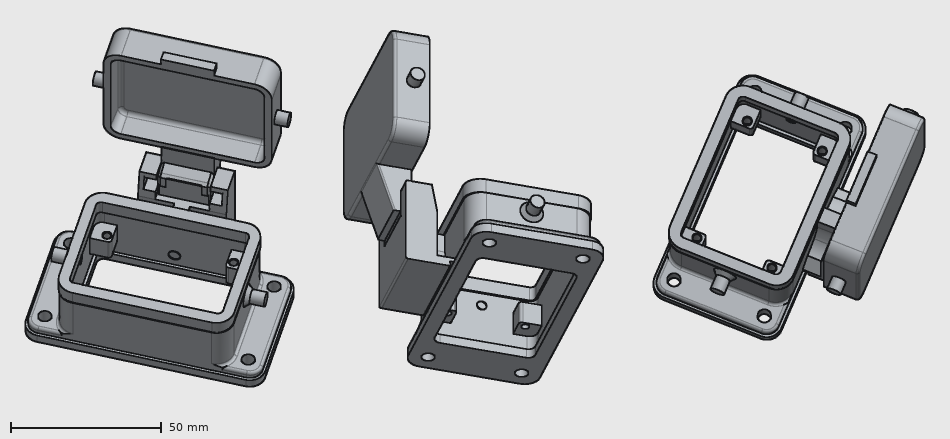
import cadquery as cq
FLANGE_X, FLANGE_Y = 82.5, 45.7
FLANGE_Z = 3.5
FLANGE_R = 5.3
PAD_STEP = 0.9
PAD_Z = 6.0
PAD_ROUND = 1.1
WALL_X, WALL_Y = 60.0, 43.6
WALL_R = 6.1
RIM_X, RIM_Y = 60.3, 44.35
RIM_BOTTOM, RIM_TOP = 23.6, 28.9
CAVITY_X, CAVITY_Y = 54.1, 37.1
CAVITY_R = 2.9
RIM_CAVITY_X, RIM_CAVITY_Y = 52.7, 35.8
RIM_CAVITY_R = 1.8
OPENING_X, OPENING_Y = 51.8, 34.95
OPENING_R = 2.5
MOUNT_HOLE_D = 4.5
MOUNT_HOLE_X, MOUNT_HOLE_Y = 35.0, 16.2

BOSS_INNER_X, BOSS_INNER_Y = 19.7, 10.8
BOSS_BOTTOM, BOSS_TOP = 9.5, 17.7
BOSS_R = 1.1
BOSS_HOLE_X, BOSS_HOLE_Y = 21.8, 13.5
BOSS_HOLE_D = 2.7
BOSS_HOLE_SINK = 0.3

PIN_D = 5.0
PIN_Z = 18.9
PIN_END = 36.6
PIN_CONE_D = 8.0
PIN_CONE_END = 31.7
PIN_DIMPLE_D = 3.3
REAR_DIMPLE_D = 4.1
REAR_DIMPLE_Z = 8.2
DIMPLE_DEPTH = 0.35

BRACKET_HALF_X = 15.3
BRACKET_FRONT, BRACKET_BACK = 28.3, 39.2
BRACKET_BOTTOM, BRACKET_TOP = 2.2, 33.7
BRACKET_TOP_FRONT = 30.2
BRACKET_LEAN_Z = 23.2
BRACKET_ROUND = 0.7
FOOT_TOP = 5.6
FOOT_NOTCH_Y, FOOT_NOTCH_Z = 23.9, 4.1
SLOT_HALF_X = 9.3
SLOT_FLOOR = 23.2
POCKET_HALF_X = 13.5
POCKET_BOTTOM, POCKET_TOP = 26.4, 31.7
POCKET_BACK = 38.5

WEB_HALF_X = 2.7
WEB_FLARE_TOP = 16.5
WEB_KNEE_X, WEB_KNEE_Z = 5.3, 10.8
WEB_TOE_X, WEB_TOE_Z = 11.0, 8.6

LID_X = 58.0
LID_FRONT, LID_BACK = 35.0, 47.68
LID_BOTTOM, LID_TOP = 42.7, 86.1
LID_R = 6.0
LID_BACK_ROUND = 1.1
LID_WALL = 2.5
LID_BACK_WALL = 3.7
RECESS_R = 3.5
RECESS_FLOOR_ROUND = 1.6
RECESS_DRAFT = 3.5
TAB_HALF_X = 9.1
TAB_TOP = 88.7
TAB_BACK = 38.3
LID_PIN_Y, LID_PIN_Z = 40.6, 64.2
LID_PIN_END = 33.5

ARM_FRONT = 35.4
ARM_HEEL_Y, ARM_HEEL_Z = 41.6, 25.2
ARM_BACK_ROUND = 0.5
BARREL_FRONT = 30.2
BARREL_TOP_FRONT = 31.7
BARREL_TOP, BARREL_TOP_LOW, BARREL_CHAMFER_Z = 34.6, 33.5, 32.8
BARREL_SIDE_CHAMFER = 1.1
PANEL_DEPTH = 0.4
PANEL_HALF_X = 6.2
PANEL_R = 0.5
LEG_BOTTOM = 28.4
HINGE_PIN_Y, HINGE_PIN_Z = 36.7, 29.7
HINGE_PIN_D = 3.2
HINGE_PIN_END = 13.2

SIDES = (-1, 1)


def box(x0, x1, y0, y1, z0, z1):
    return cq.Workplane("XY").box(x1 - x0, y1 - y0, z1 - z0, centered=False).translate((x0, y0, z0))


def rounded_block(size_x, size_y, radius, z0, z1):
    block = cq.Workplane("XY").workplane(offset=z0).rect(size_x, size_y).extrude(z1 - z0)
    return block.edges("|Z").fillet(radius)


def x_cylinder(x0, x1, y, z, diameter):
    return cq.Workplane("YZ").workplane(offset=x0).center(y, z).circle(diameter / 2).extrude(x1 - x0)


def yz_prism(points, half_x):
    return cq.Workplane("YZ").polyline(points).close().extrude(half_x, both=True)


def make_flange():
    flange = rounded_block(FLANGE_X, FLANGE_Y, FLANGE_R, 0, FLANGE_Z)
    pad = rounded_block(FLANGE_X - 2 * PAD_STEP, WALL_Y, FLANGE_R - PAD_STEP, 0, PAD_Z)
    return flange.union(pad.faces(">Z").edges().fillet(PAD_ROUND))


def make_wall():
    """Rounded wall whose foot flares onto the pad, trimmed flush with the pad sides."""
    ground_z = PAD_Z - PAD_ROUND
    ground = box(-FLANGE_X, FLANGE_X, -FLANGE_Y, FLANGE_Y, 0, PAD_Z)
    wall = ground.union(rounded_block(WALL_X, WALL_Y, WALL_R, 0, RIM_BOTTOM))
    foot_edges = cq.selectors.BoxSelector(
        (-WALL_X, -WALL_Y, PAD_Z - 0.1), (WALL_X, WALL_Y, PAD_Z + 0.1)
    )
    flare_x = WALL_X + 2 * PAD_ROUND
    flare_y = WALL_Y + 2 * PAD_ROUND
    trim = rounded_block(flare_x, flare_y, WALL_R + PAD_ROUND, ground_z, RIM_BOTTOM)
    trim = trim.intersect(rounded_block(FLANGE_X - 2 * PAD_STEP, WALL_Y, FLANGE_R - PAD_STEP, 0, RIM_BOTTOM))
    wall = wall.edges(foot_edges).fillet(PAD_ROUND)
    rim = rounded_block(RIM_X, RIM_Y, WALL_R, RIM_BOTTOM, RIM_TOP)
    return wall.intersect(trim).union(rim)


def cut_cavity(body):
    body = body.cut(rounded_block(OPENING_X, OPENING_Y, OPENING_R, 0, FLANGE_Z))
    body = body.cut(rounded_block(CAVITY_X, CAVITY_Y, CAVITY_R, FLANGE_Z, RIM_BOTTOM))
    return body.cut(rounded_block(RIM_CAVITY_X, RIM_CAVITY_Y, RIM_CAVITY_R, RIM_BOTTOM, RIM_TOP))


def make_bosses():
    """Four screw bosses in the cavity corners."""
    outline = rounded_block(CAVITY_X + 1.8, CAVITY_Y + 1.8, CAVITY_R, BOSS_BOTTOM, BOSS_TOP)
    bosses = cq.Workplane("XY")
    for side_x in SIDES:
        for side_y in SIDES:
            boss = (
                cq.Workplane("XY").box(
                    CAVITY_X / 2 - BOSS_INNER_X + 0.9, CAVITY_Y / 2 - BOSS_INNER_Y + 0.9,
                    BOSS_TOP - BOSS_BOTTOM, centered=False)
                .edges("|Z and <X and <Y").fillet(BOSS_R)
                .translate((BOSS_INNER_X, BOSS_INNER_Y, BOSS_BOTTOM))
                .intersect(outline)
                .faces(">Z").workplane(origin=(BOSS_HOLE_X, BOSS_HOLE_Y, BOSS_TOP))
                .cskHole(BOSS_HOLE_D, BOSS_HOLE_D + 2 * BOSS_HOLE_SINK, 90)
            )
            if side_x < 0:
                boss = boss.mirror("YZ")
            if side_y < 0:
                boss = boss.mirror("XZ")
            bosses = bosses.add(boss)
    return bosses


def make_side_pin():
    pin = x_cylinder(WALL_X / 2 - 0.9, PIN_END, 0, PIN_Z, PIN_D)
    cone = (
        cq.Workplane("XZ")
        .moveTo(WALL_X / 2 - 0.9, PIN_Z)
        .lineTo(WALL_X / 2 - 0.9, PIN_Z + PIN_CONE_D / 2)
        .lineTo(WALL_X / 2, PIN_Z + PIN_CONE_D / 2)
        .lineTo(PIN_CONE_END, PIN_Z + PIN_D / 2)
        .lineTo(PIN_CONE_END, PIN_Z)
        .close()
        .revolve(360, (0, PIN_Z, 0), (1, PIN_Z, 0))
    )
    return pin.union(cone)


def make_web():
    """Web between bracket and wall; its flared sides sweep out in two tangent arcs."""
    half = (
        cq.Workplane("XZ", origin=(0, BRACKET_FRONT + 0.9, 0))
        .moveTo(0, FOOT_TOP - 0.9)
        .lineTo(0, SLOT_FLOOR)
        .lineTo(WEB_HALF_X, SLOT_FLOOR)
        .lineTo(WEB_HALF_X, WEB_FLARE_TOP)
        .tangentArcPoint((WEB_KNEE_X, WEB_KNEE_Z), relative=False)
        .tangentArcPoint((WEB_TOE_X, WEB_TOE_Z), relative=False)
        .lineTo(BRACKET_HALF_X, FOOT_TOP)
        .lineTo(BRACKET_HALF_X, FOOT_TOP - 0.9)
        .close()
        .extrude(BRACKET_FRONT + 0.9 - WALL_Y / 2)
    )
    return half.union(half.mirror("YZ"))


def make_bracket():
    wall_y = WALL_Y / 2
    profile = [
        (wall_y, FOOT_NOTCH_Z),
        (FOOT_NOTCH_Y, FOOT_NOTCH_Z),
        (FOOT_NOTCH_Y, BRACKET_BOTTOM),
        (BRACKET_BACK, BRACKET_BOTTOM),
        (BRACKET_BACK, BRACKET_TOP),
        (BRACKET_TOP_FRONT, BRACKET_TOP),
        (BRACKET_FRONT, BRACKET_LEAN_Z),
        (BRACKET_FRONT, FOOT_TOP),
        (wall_y, FOOT_TOP),
    ]
    bracket = yz_prism(profile, BRACKET_HALF_X)
    bracket = bracket.edges("|X and >Y").fillet(BRACKET_ROUND)
    slot = box(-SLOT_HALF_X, SLOT_HALF_X, BRACKET_FRONT, BRACKET_BACK, SLOT_FLOOR, BRACKET_TOP)
    pocket = box(-POCKET_HALF_X, POCKET_HALF_X, BRACKET_FRONT, POCKET_BACK, POCKET_BOTTOM, POCKET_TOP)
    return bracket.cut(slot).cut(pocket).union(make_web())


def make_housing():
    body = cut_cavity(make_flange().union(make_wall()))
    for boss in make_bosses().vals():
        body = body.union(cq.Workplane(boss))
    mount_holes = (
        cq.Workplane("XY").rect(2 * MOUNT_HOLE_X, 2 * MOUNT_HOLE_Y, forConstruction=True).vertices()
        .circle(MOUNT_HOLE_D / 2).extrude(PAD_Z)
    )
    body = body.cut(mount_holes).union(make_bracket())
    pin = make_side_pin()
    dimple = x_cylinder(0, CAVITY_X / 2 + DIMPLE_DEPTH, 0, PIN_Z, PIN_DIMPLE_D)
    body = body.union(pin).union(pin.mirror("YZ")).cut(dimple).cut(dimple.mirror("YZ"))
    rear_dimple = (
        cq.Workplane("XZ").center(0, REAR_DIMPLE_Z).circle(REAR_DIMPLE_D / 2)
        .extrude(-CAVITY_Y / 2 - DIMPLE_DEPTH)
    )
    return body.cut(rear_dimple)


def make_lid_shell():
    mid_z = (LID_BOTTOM + LID_TOP) / 2
    height = LID_TOP - LID_BOTTOM
    depth = LID_BACK - LID_FRONT
    shell = cq.Workplane("XY").box(LID_X, depth, height).edges("|Y").fillet(LID_R)
    shell = shell.faces(">Y").edges().fillet(LID_BACK_ROUND)
    recess = (
        cq.Sketch().rect(LID_X - 2 * LID_WALL, height - 2 * LID_WALL).vertices().fillet(RECESS_R)
    )
    recess = (
        cq.Workplane("XZ", origin=(0, -depth / 2, 0))
        .placeSketch(recess).extrude(LID_BACK_WALL - depth, taper=RECESS_DRAFT)
        .faces(">Y").edges().fillet(RECESS_FLOOR_ROUND)
    )
    return shell.cut(recess).translate((0, (LID_FRONT + LID_BACK) / 2, mid_z))


def make_arm():
    root_z = LID_BOTTOM + LID_WALL / 2
    profile = [
        (ARM_FRONT, root_z),
        (LID_BACK - LID_BACK_ROUND, root_z),
        (LID_BACK, LID_BOTTOM + LID_BACK_ROUND),
        (ARM_HEEL_Y, ARM_HEEL_Z),
        (BRACKET_BACK, ARM_HEEL_Z),
        (BRACKET_BACK, SLOT_FLOOR),
        (BARREL_FRONT, SLOT_FLOOR),
        (BARREL_FRONT, BARREL_CHAMFER_Z),
        (BARREL_TOP_FRONT, BARREL_TOP_LOW),
        (ARM_FRONT, BARREL_TOP),
    ]
    arm = yz_prism(profile, TAB_HALF_X)
    front_sides = cq.selectors.BoxSelector(
        (-TAB_HALF_X - 0.9, BARREL_FRONT - 0.9, SLOT_FLOOR), (TAB_HALF_X + 0.9, ARM_FRONT - 0.9, BARREL_TOP)
    )
    arm = arm.edges("not |X").edges(front_sides).edges("not |Y").chamfer(BARREL_SIDE_CHAMFER)
    back_sides = cq.selectors.BoxSelector(
        (-TAB_HALF_X - 0.9, ARM_HEEL_Y, ARM_HEEL_Z + 0.9), (TAB_HALF_X + 0.9, LID_BACK, LID_BOTTOM)
    )
    return arm.edges("not |X").edges(back_sides).fillet(ARM_BACK_ROUND)


def cut_panel(body):
    """Sunken panel on the barrel front that leaves an inverted U standing."""
    back = BARREL_FRONT + PANEL_DEPTH
    panel = box(-PANEL_HALF_X, PANEL_HALF_X, BARREL_FRONT, back, SLOT_FLOOR, BARREL_CHAMFER_Z)
    panel = panel.edges("|Y and >Z").fillet(PANEL_R)
    lower = box(-TAB_HALF_X, TAB_HALF_X, BARREL_FRONT, back, SLOT_FLOOR, LEG_BOTTOM)
    return body.cut(panel).cut(lower)


def make_lid():
    tab = box(-TAB_HALF_X, TAB_HALF_X, LID_FRONT, TAB_BACK, LID_TOP - LID_WALL, TAB_TOP)
    lid = make_lid_shell().union(tab).union(cut_panel(make_arm()))
    hinge_pin = x_cylinder(-HINGE_PIN_END, HINGE_PIN_END, HINGE_PIN_Y, HINGE_PIN_Z, HINGE_PIN_D)
    lid = lid.union(hinge_pin)
    side_pin = x_cylinder(LID_X / 2 - LID_WALL, LID_PIN_END, LID_PIN_Y, LID_PIN_Z, PIN_D)
    return lid.union(side_pin).union(side_pin.mirror("YZ"))


housing = make_housing()
lid = make_lid()
result = cq.Compound.makeCompound([housing.val(), lid.val()])